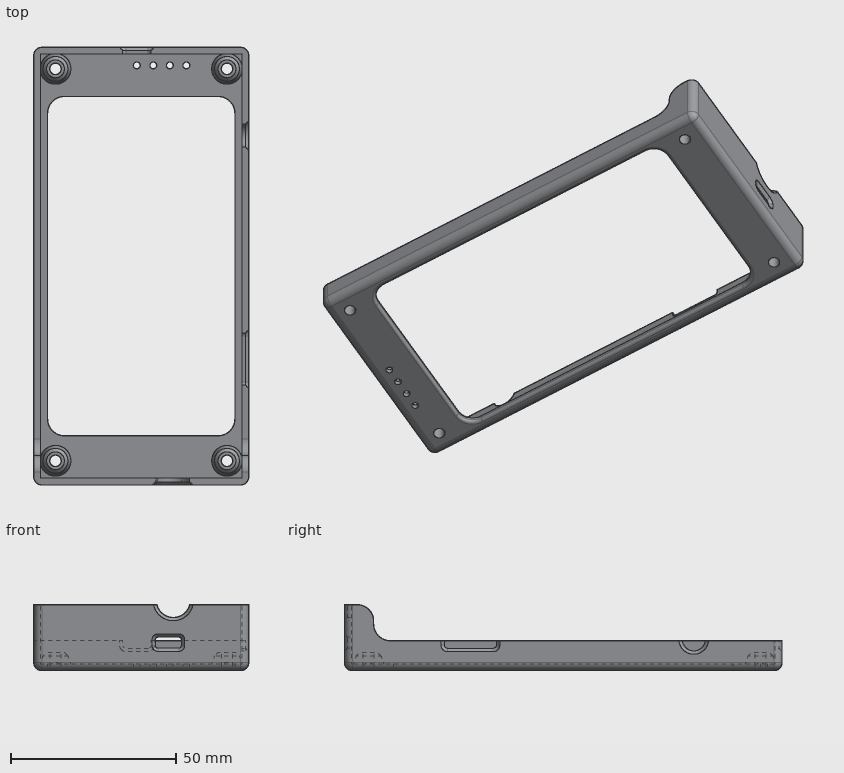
import cadquery as cq
import math

LENGTH_X = 65.1
LENGTH_Y = 132.5
HEIGHT = 20.03
RIM_HEIGHT = 9.1
EDGE_RADIUS = 2.5
WALL = 2.1
FLOOR = 2.0
FRONT_Y = -LENGTH_Y / 2
BACK_Y = LENGTH_Y / 2
RIGHT_X = LENGTH_X / 2

STEP_Y = FRONT_Y + 8.9
STEP_RADIUS = 5.0

WINDOW_X = 56.6
WINDOW_Y = 102.6
WINDOW_RADIUS = 5.0
WINDOW_EDGE_RADIUS = 1.0

BOSS_SPACING_X = 51.9
BOSS_SPACING_Y = 118.6
BOSS_CENTER_Y = 0.4
BOSS_BASE_RADIUS = 4.65
BOSS_SHOULDER_RADIUS = 7.51 / 2
BOSS_TOP_RADIUS = 2.7
BOSS_SHOULDER_HEIGHT = 2.5
BOSS_HEIGHT = 3.5
SCREW_HOLE_DIAMETER = 3.4

LED_DIAMETER = 2.0
LED_COUNT = 4
LED_PITCH = 5.0
LED_FIRST_X = -1.35
LED_Y = 60.75

FLARE = 1.0

PORT_X = 8.2
PORT_Z = 8.5
PORT_WIDTH = 7.9
PORT_HEIGHT = 3.3
PORT_RADIUS = 0.8

CABLE_X = 9.7
CABLE_RADIUS = 5.1
CABLE_Z = HEIGHT + 1.2

NOTCH_CORNER_RADIUS = 1.0
NOTCH_DEPTH = 2.3
BACK_NOTCH_X = -1.3
BACK_NOTCH_WIDTH = 8.6
SIDE_NOTCH_Y = -28.1
SIDE_NOTCH_WIDTH = 15.8

JACK_Y = 39.5
JACK_RADIUS = 3.5
JACK_Z = RIM_HEIGHT + 0.4


def make_shell():
    """Rounded block, hollowed from above and lowered to the rim behind the step."""
    block = cq.Workplane("XY").box(LENGTH_X, LENGTH_Y, HEIGHT, centered=(True, True, False))
    block = block.edges("|Z").fillet(EDGE_RADIUS).faces("<Z").edges().fillet(EDGE_RADIUS)
    cavity = (
        cq.Workplane("XY", origin=(0, 0, FLOOR))
        .rect(LENGTH_X - 2 * WALL, LENGTH_Y - 2 * WALL)
        .extrude(HEIGHT)
    )
    arc_offset = STEP_RADIUS * math.sqrt(0.5)
    upper_center = (STEP_Y - STEP_RADIUS, HEIGHT - STEP_RADIUS)
    lower_center = (STEP_Y + STEP_RADIUS, RIM_HEIGHT + STEP_RADIUS)
    above_rim = (
        cq.Workplane("YZ")
        .moveTo(upper_center[0], HEIGHT)
        .threePointArc(
            (upper_center[0] + arc_offset, upper_center[1] + arc_offset),
            (STEP_Y, upper_center[1]),
        )
        .lineTo(STEP_Y, lower_center[1])
        .threePointArc(
            (lower_center[0] - arc_offset, lower_center[1] - arc_offset),
            (lower_center[0], RIM_HEIGHT),
        )
        .lineTo(BACK_Y, RIM_HEIGHT)
        .lineTo(BACK_Y, HEIGHT)
        .close()
        .extrude(RIGHT_X, both=True)
    )
    return block.cut(cavity).cut(above_rim)


def cut_window(shell):
    """Cut the rounded window through the floor and round over its lower edge."""
    window = (
        cq.Workplane("XY").rect(WINDOW_X, WINDOW_Y).extrude(FLOOR)
        .edges("|Z").fillet(WINDOW_RADIUS)
    )
    inside_window_edge = cq.selectors.BoxSelector(
        (-WINDOW_X / 2 - FLOOR, -WINDOW_Y / 2 - FLOOR, -FLOOR / 2),
        (WINDOW_X / 2 + FLOOR, WINDOW_Y / 2 + FLOOR, FLOOR / 2),
        boundingbox=True,
    )
    return shell.cut(window).edges(inside_window_edge).fillet(WINDOW_EDGE_RADIUS)


def make_bosses():
    """Tapered bosses standing on the floor."""
    boss = (
        cq.Workplane("XZ")
        .polyline([
            (0, 0),
            (BOSS_BASE_RADIUS, 0),
            (BOSS_SHOULDER_RADIUS, BOSS_SHOULDER_HEIGHT),
            (BOSS_TOP_RADIUS, BOSS_HEIGHT),
            (0, BOSS_HEIGHT),
        ])
        .close()
        .revolve(360, (0, 0), (0, 1))
    )
    return (
        cq.Workplane("XY", origin=(0, BOSS_CENTER_Y, FLOOR))
        .rect(BOSS_SPACING_X, BOSS_SPACING_Y, forConstruction=True)
        .vertices()
        .eachpoint(boss.val())
    )


def make_floor_holes():
    """Screw holes and indicator holes, all through the floor."""
    screws = (
        cq.Workplane("XY", origin=(0, BOSS_CENTER_Y, 0))
        .rect(BOSS_SPACING_X, BOSS_SPACING_Y, forConstruction=True)
        .vertices()
        .circle(SCREW_HOLE_DIAMETER / 2).extrude(HEIGHT)
    )
    led_points = [(LED_FIRST_X + i * LED_PITCH, LED_Y) for i in range(LED_COUNT)]
    leds = cq.Workplane("XY").pushPoints(led_points).circle(LED_DIAMETER / 2).extrude(HEIGHT)
    return screws.union(leds)


def wall_plane(x, y, z, outward):
    """Plane on a wall's outer face, with its local y axis pointing up."""
    across = cq.Vector(0, 0, 1).cross(cq.Vector(*outward))
    return cq.Workplane(cq.Plane(origin=(x, y, z), xDir=across, normal=outward))


def flared_round(plane, radius):
    """Cylinder through a wall with a conical flare at the outer face."""
    bore = plane.circle(radius).extrude(-WALL)
    cone = plane.circle(radius + FLARE).workplane(offset=-FLARE).circle(radius).loft()
    return bore.union(cone)


def flared_slot(plane, width, height, radius):
    """Rounded rectangle through a wall with a 45 degree flare at the outer face."""
    def outline(grow):
        return cq.Sketch().rect(width + 2 * grow, height + 2 * grow).vertices().fillet(radius + grow)

    bore = plane.placeSketch(outline(0)).extrude(-WALL)
    inner_outline = outline(0).moved(cq.Location(cq.Vector(0, 0, -FLARE)))
    flare = plane.placeSketch(outline(FLARE), inner_outline).loft()
    return bore.union(flare)


def rim_notch(x, y, outward, width):
    """Slot centred on the rim so that its lower half forms an open notch."""
    return flared_slot(wall_plane(x, y, RIM_HEIGHT, outward), width, 2 * NOTCH_DEPTH, NOTCH_CORNER_RADIUS)


FRONT = (0, -1, 0)
BACK = (0, 1, 0)
RIGHT = (1, 0, 0)

result = (
    cut_window(make_shell())
    .union(make_bosses())
    .cut(make_floor_holes())
    .cut(flared_slot(wall_plane(PORT_X, FRONT_Y, PORT_Z, FRONT), PORT_WIDTH, PORT_HEIGHT, PORT_RADIUS))
    .cut(flared_round(wall_plane(CABLE_X, FRONT_Y, CABLE_Z, FRONT), CABLE_RADIUS))
    .cut(rim_notch(BACK_NOTCH_X, BACK_Y, BACK, BACK_NOTCH_WIDTH))
    .cut(rim_notch(RIGHT_X, SIDE_NOTCH_Y, RIGHT, SIDE_NOTCH_WIDTH))
    .cut(flared_round(wall_plane(RIGHT_X, JACK_Y, JACK_Z, RIGHT), JACK_RADIUS))
)